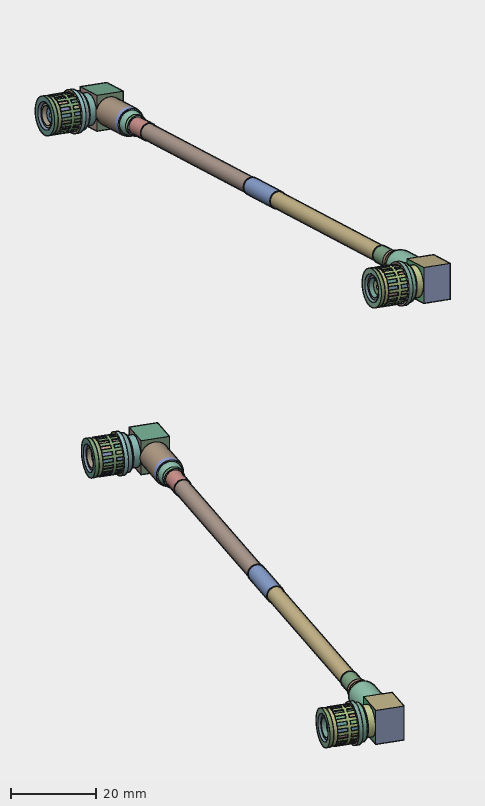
import cadquery as cq

LENGTH = 169.5
DEPTH = 19.8
FLANGE_RADIUS = 5.3
CONNECTOR_X = LENGTH / 2 - FLANGE_RADIUS

CABLE_RADIUS = 2.0
LABEL_RADIUS = 2.2
LABEL_LENGTH = 12.9

BLOCK_WIDTH = 8.1
BLOCK_HEIGHT = 8.8
BLOCK_BACK = 3.7
BLOCK_FRONT = -3.4
CAP_RADIUS = 2.0
CAP_HEIGHT = 0.5
BUTTON_RADIUS = 1.0
BUTTON_HEIGHT = 0.5

BARREL_RADIUS = 3.5
RIM_START = 13.4
RIM_RADIUS = 3.4
RIM_END = 14.4
SHOULDER_RADIUS = 3.0
SHOULDER_ROUND = 2.7
STUB_START = 16.5
STUB_RADIUS = 2.5
FERRULE_START = 17.5
FERRULE_END = 23.0
FERRULE_RADIUS = 2.2

MATING_FACE = BLOCK_BACK + CAP_HEIGHT + BUTTON_HEIGHT - DEPTH
NECK_RADIUS = 3.9
NECK_START = 5.5
SOCKET_RADIUS = 2.9
SOCKET_WALL = 0.5
SOCKET_RECESS = 0.5
SOCKET_DEPTH = 4.0
CONTACT_RADIUS = 1.9
CONTACT_RECESS = 1.5
CONTACT_BORE_RADIUS = 0.5

NUT_RADIUS = 4.7
NUT_BORE_RADIUS = 3.4
NUT_LENGTH = 9.8
NUT_CHAMFER = 0.5
FLANGE_FRONT = 7.1
FLANGE_WIDTH = 1.0
RIM_GROOVE_FRONT = 1.0
RIM_GROOVE_BACK = 2.0
RIM_GROOVE_RADIUS = 4.5
SLOT_COUNT = 18
SLOT_WIDTH = 0.8
SLOT_DEPTH = 0.3
SLOT_ROWS = [(RIM_GROOVE_BACK, 4.5), (5.5, FLANGE_FRONT)]


def rod_along_x(radius, start, end):
    return cq.Workplane("YZ").workplane(offset=start).circle(radius).extrude(end - start)


def rod_along_y(radius, start, end):
    return cq.Workplane("XZ").workplane(offset=-start).circle(radius).extrude(start - end)


def mating_rod(radius, start, end):
    """Cylinder on the mating axis, measured back from the mating face."""
    return rod_along_y(radius, MATING_FACE + start, MATING_FACE + end)


def make_block():
    block = cq.Workplane("XY").box(
        BLOCK_WIDTH, BLOCK_BACK - BLOCK_FRONT, BLOCK_HEIGHT, centered=(True, False, True)
    ).translate((0, BLOCK_FRONT, 0))
    cap_end = BLOCK_BACK + CAP_HEIGHT
    cap = rod_along_y(CAP_RADIUS, BLOCK_BACK, cap_end)
    button = rod_along_y(BUTTON_RADIUS, cap_end, cap_end + BUTTON_HEIGHT)
    return block.union(cap).union(button)


def make_barrel():
    return (
        cq.Workplane("XY")
        .lineTo(0, BARREL_RADIUS)
        .lineTo(RIM_START, BARREL_RADIUS)
        .lineTo(RIM_END, RIM_RADIUS)
        .lineTo(RIM_END, SHOULDER_RADIUS)
        .radiusArc((STUB_START, STUB_RADIUS), SHOULDER_ROUND)
        .lineTo(FERRULE_START, STUB_RADIUS)
        .lineTo(FERRULE_START, FERRULE_RADIUS)
        .lineTo(FERRULE_END, FERRULE_RADIUS)
        .lineTo(FERRULE_END, 0)
        .close()
        .revolve(360, (0, 0, 0), (1, 0, 0))
        .cut(rod_along_x(CABLE_RADIUS, STUB_START, FERRULE_END))
    )


def make_mating_end():
    neck = rod_along_y(NECK_RADIUS, MATING_FACE + NECK_START, BLOCK_FRONT)
    socket = mating_rod(SOCKET_RADIUS, SOCKET_RECESS, NECK_START)
    gap = mating_rod(SOCKET_RADIUS - SOCKET_WALL, SOCKET_RECESS, SOCKET_DEPTH)
    contact = mating_rod(CONTACT_RADIUS, CONTACT_RECESS, SOCKET_DEPTH)
    bore = mating_rod(CONTACT_BORE_RADIUS, CONTACT_RECESS, SOCKET_DEPTH)
    return neck.union(socket).cut(gap).union(contact).cut(bore)


def make_connector():
    return make_block().union(make_barrel()).union(make_mating_end())


def make_nut():
    nut = mating_rod(NUT_RADIUS, 0, NUT_LENGTH).faces(">Y").chamfer(NUT_CHAMFER)
    nut = nut.union(mating_rod(FLANGE_RADIUS, FLANGE_FRONT, FLANGE_FRONT + FLANGE_WIDTH))
    rim_groove = mating_rod(NUT_RADIUS, RIM_GROOVE_FRONT, RIM_GROOVE_BACK)
    nut = nut.cut(rim_groove.cut(mating_rod(RIM_GROOVE_RADIUS, RIM_GROOVE_FRONT, RIM_GROOVE_BACK)))
    first_slot_angle = 360 / SLOT_COUNT / 2
    for start, end in SLOT_ROWS:
        slots = (
            cq.Workplane("XZ")
            .workplane(offset=-MATING_FACE - start)
            .polarArray(NUT_RADIUS, first_slot_angle, 360, SLOT_COUNT)
            .rect(2 * SLOT_DEPTH, SLOT_WIDTH)
            .extrude(start - end)
        )
        nut = nut.cut(slots)
    nut = nut.cut(mating_rod(NUT_BORE_RADIUS, 0, NECK_START))
    return nut.cut(mating_rod(NECK_RADIUS, NECK_START, NUT_LENGTH))


def make_cable():
    half_length = CONNECTOR_X - STUB_START
    cable = rod_along_x(CABLE_RADIUS, -half_length, half_length)
    return cable.union(rod_along_x(LABEL_RADIUS, -LABEL_LENGTH / 2, LABEL_LENGTH / 2))


def place_at_ends(part):
    left = part.translate((-CONNECTOR_X, 0, 0))
    return [left.val(), left.mirror("YZ").val()]


cable = make_cable()
connectors = place_at_ends(make_connector())
nuts = place_at_ends(make_nut())

result = cq.Compound.makeCompound([cable.val(), *connectors, *nuts])